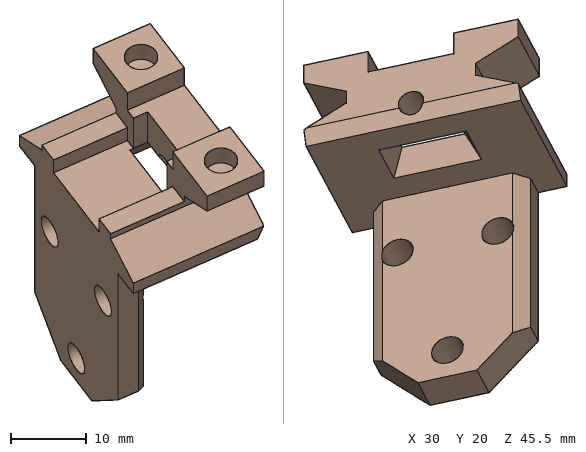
import cadquery as cq

HEIGHT = 45.5
WIDTH = 30.0
DEPTH = 20.0

EAR_EDGE_DROP = 3.0
NECK_TOP_DROP = 6.0
RAIL_TOP_DROP = 7.0
NECK_BOTTOM_DROP = 8.0
WING_EDGE_DROP = 11.0
HEAD_HEIGHT = 13.1
SADDLE_DROP = 3.5
CHANNEL_DROP = 9.6
NECK_WIDTH = 18.0
CHANNEL_WIDTH = 11.95
EAR_DEPTH = 8.75
REAR_BEVEL_DEPTH = 1.0
REAR_BEVEL_HEIGHT = 2.28

HOLE_DIAMETER = 4.4
EAR_HOLE_SPACING = 21.0
EAR_HOLE_FROM_REAR = 4.0
EAR_HOLE_DEPTH = 3.0

SLOT_WIDTH = 8.8
SLOT_DEPTH = 2.75
SLOT_FROM_REAR = 6.55
SLOT_FLARE = 1.75
BOLT_DIAMETER = 3.5
BOLT_Z = 35.25

PLATE_WIDTH = 21.98
PLATE_THICKNESS = 5.0
FOOT_WIDTH = 8.25
FOOT_BEVEL_HEIGHT = 7.0
PLATE_REAR_CHAMFER = 1.9
PLATE_HOLE_SPACING = 14.0
UPPER_HOLE_Z = 23.02
LOWER_HOLE_Z = 4.5

HEAD_BOTTOM = HEIGHT - HEAD_HEIGHT
CHANNEL_Z = HEIGHT - CHANNEL_DROP
EAR_FRONT = DEPTH - EAR_DEPTH


def box(width, y_start, y_end, z_start, z_end):
    """Box centred on X between the given Y and Z limits."""
    size = (width, y_end - y_start, z_end - z_start)
    return cq.Workplane("XY").box(*size, centered=(True, False, False)).translate((0, y_start, z_start))


def cylinder_along_y(diameter, x, z, y_start, y_end):
    base = cq.Workplane("XZ", origin=(x, y_start, z))
    return base.circle(diameter / 2).extrude(y_start - y_end)


def make_head():
    """Winged rail along Y with two raised ears at the rear."""
    half_width = WIDTH / 2
    half_neck = NECK_WIDTH / 2
    right_side = [
        (half_width, HEIGHT),
        (half_width, HEIGHT - EAR_EDGE_DROP),
        (half_neck, HEIGHT - NECK_TOP_DROP),
        (half_neck, HEIGHT - NECK_BOTTOM_DROP),
        (half_width, HEIGHT - WING_EDGE_DROP),
        (half_width, HEAD_BOTTOM),
    ]
    left_side = [(-x, z) for x, z in reversed(right_side)]
    head = cq.Workplane("XZ").polyline(right_side + left_side).close().extrude(-DEPTH)

    rail_top = HEIGHT - RAIL_TOP_DROP
    head = head.cut(box(WIDTH, 0, EAR_FRONT, rail_top, HEIGHT))
    head = head.cut(box(CHANNEL_WIDTH, 0, EAR_FRONT, CHANNEL_Z, HEIGHT))
    head = head.cut(box(CHANNEL_WIDTH, 0, DEPTH, HEIGHT - SADDLE_DROP, HEIGHT))

    rear_bevel = (
        cq.Workplane("YZ", origin=(-half_width, 0, 0))
        .moveTo(DEPTH, HEAD_BOTTOM)
        .lineTo(DEPTH - REAR_BEVEL_DEPTH, HEAD_BOTTOM)
        .lineTo(DEPTH, HEAD_BOTTOM + REAR_BEVEL_HEIGHT)
        .close()
        .extrude(WIDTH)
    )
    return head.cut(rear_bevel)


def make_plate():
    """Upright plate with a tapered foot and chamfered rear side edges."""
    half_width = PLATE_WIDTH / 2
    half_foot = FOOT_WIDTH / 2
    outline = [
        (-half_foot, 0),
        (half_foot, 0),
        (half_width, FOOT_BEVEL_HEIGHT),
        (half_width, HEAD_BOTTOM),
        (-half_width, HEAD_BOTTOM),
        (-half_width, FOOT_BEVEL_HEIGHT),
    ]
    plate = cq.Workplane("XZ").polyline(outline).close().extrude(-PLATE_THICKNESS)
    return plate.edges("|Z and >Y").chamfer(PLATE_REAR_CHAMFER)


def cut_ear_holes(body):
    for side in (-1, 1):
        centre = (side * EAR_HOLE_SPACING / 2, DEPTH - EAR_HOLE_FROM_REAR, HEIGHT)
        hole = cq.Workplane("XY", origin=centre).circle(HOLE_DIAMETER / 2).extrude(-EAR_HOLE_DEPTH)
        body = body.cut(hole)
    return body


def cut_slot_and_bolt_hole(body):
    """Slot that is straight above the channel floor and flares out on all sides below it."""
    slot_rear = DEPTH - SLOT_FROM_REAR
    slot_front = slot_rear - SLOT_DEPTH
    flare = (
        cq.Workplane("XY", origin=(0, (slot_front + slot_rear) / 2, CHANNEL_Z))
        .rect(SLOT_WIDTH, SLOT_DEPTH)
        .workplane(offset=HEAD_BOTTOM - CHANNEL_Z)
        .rect(SLOT_WIDTH + 2 * SLOT_FLARE, SLOT_DEPTH + 2 * SLOT_FLARE)
        .loft()
    )
    body = body.cut(box(SLOT_WIDTH, slot_front, slot_rear, CHANNEL_Z, HEIGHT)).cut(flare)
    return body.cut(cylinder_along_y(BOLT_DIAMETER, 0, BOLT_Z, slot_rear, DEPTH))


def cut_plate_holes(body):
    half_spacing = PLATE_HOLE_SPACING / 2
    centres = [(-half_spacing, UPPER_HOLE_Z), (half_spacing, UPPER_HOLE_Z), (0, LOWER_HOLE_Z)]
    for x, z in centres:
        body = body.cut(cylinder_along_y(HOLE_DIAMETER, x, z, 0, PLATE_THICKNESS))
    return body


result = make_head().union(make_plate())
result = cut_ear_holes(result)
result = cut_slot_and_bolt_hole(result)
result = cut_plate_holes(result)